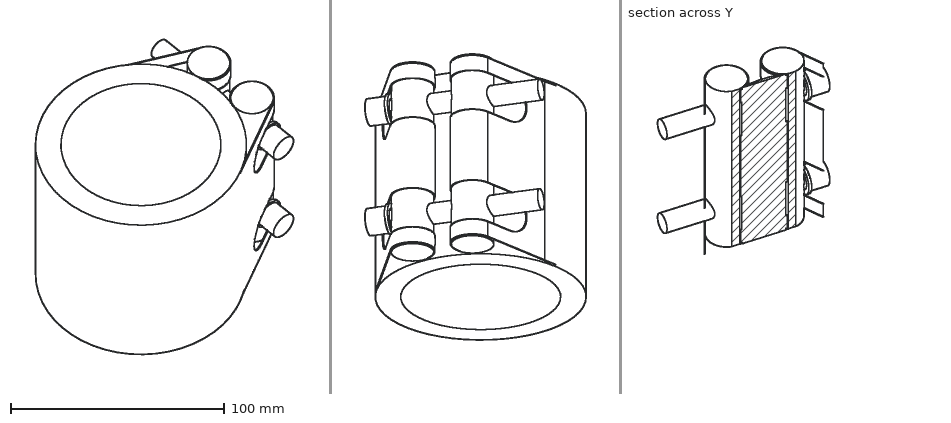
import cadquery as cq
import math

body_radius = 99 / 2
bore_radius = 75 / 2
body_height = 94

pin_radius = 20 / 2
pin_height = 93.4
pin_x = 14.75
pin_y = 57.85

strap_thickness = 0.5
strap_height = 92
wrap_radius = pin_radius + strap_thickness

slot_width = 20
slot_end_y = 39.5

bolt_z = 0.3 * body_height
bolt_radius = 10 / 2
bolt_tip_x = -48.5
washer_radius = 15 / 2
washer_thickness = 1.5
washer_x = pin_x + pin_radius
head_radius = 13 / 2
head_length = 10
head_x = washer_x + washer_thickness


def polar_point(center, radius, angle):
    """Point at the given radius and angle around a center."""
    return (center[0] + radius * math.cos(angle), center[1] + radius * math.sin(angle))


def upright(profile, height):
    """Extrude a plan profile symmetrically about the mid-height plane."""
    return profile.extrude(height / 2, both=True)


def rod_along_x(start_x, length, radius, z):
    """Cylinder parallel to X on the common axis of the pins."""
    return cq.Workplane("YZ", origin=(start_x, pin_y, z)).circle(radius).extrude(length)


def make_body():
    return upright(cq.Workplane("XY").circle(body_radius).circle(bore_radius), body_height)


def make_pin():
    return upright(cq.Workplane("XY").center(pin_x, pin_y).circle(pin_radius), pin_height)


def make_strap():
    """Strap on the +X side: a flat run tangent to body and pin, then a wrap over the pin."""
    body_center = (0, 0)
    pin_center = (pin_x, pin_y)
    pin_distance = math.hypot(pin_x, pin_y)
    pin_angle = math.atan2(pin_y, pin_x)

    normal_angle = pin_angle - math.acos((body_radius - wrap_radius) / pin_distance)
    end_angle = pin_angle + math.pi
    middle_angle = (normal_angle + end_angle) / 2

    profile = (
        cq.Workplane("XY")
        .moveTo(*polar_point(body_center, body_radius, normal_angle))
        .lineTo(*polar_point(pin_center, wrap_radius, normal_angle))
        .threePointArc(
            polar_point(pin_center, wrap_radius, middle_angle),
            polar_point(pin_center, wrap_radius, end_angle),
        )
        .lineTo(*polar_point(pin_center, pin_radius, end_angle))
        .threePointArc(
            polar_point(pin_center, pin_radius, middle_angle),
            polar_point(pin_center, pin_radius, normal_angle),
        )
        .lineTo(*polar_point(body_center, body_radius - strap_thickness, normal_angle))
        .close()
    )
    strap = upright(profile, strap_height)
    for slot_center_z in (-bolt_z, bolt_z):
        strap = strap.cut(make_slot(slot_center_z))
    return strap


def make_slot(z):
    """Cutter along X that frees the strap around one bolt."""
    slot_radius = slot_width / 2
    slot_center_y = slot_end_y + slot_radius
    slot_top_y = pin_y + 2 * pin_radius
    slot_reach = body_radius
    return (
        cq.Workplane("YZ")
        .moveTo(slot_top_y, z - slot_radius)
        .lineTo(slot_center_y, z - slot_radius)
        .threePointArc((slot_end_y, z), (slot_center_y, z + slot_radius))
        .lineTo(slot_top_y, z + slot_radius)
        .close()
        .extrude(slot_reach)
    )


def make_bolt(z):
    shank = rod_along_x(bolt_tip_x, washer_x - bolt_tip_x, bolt_radius, z)
    washer = rod_along_x(washer_x, washer_thickness, washer_radius, z)
    head = rod_along_x(head_x, head_length, head_radius, z)
    return shank.union(washer).union(head)


clamp_side = make_pin().union(make_strap())
result = make_body().union(clamp_side).union(clamp_side.mirror("YZ"))
for bolt_center_z in (-bolt_z, bolt_z):
    result = result.union(make_bolt(bolt_center_z))